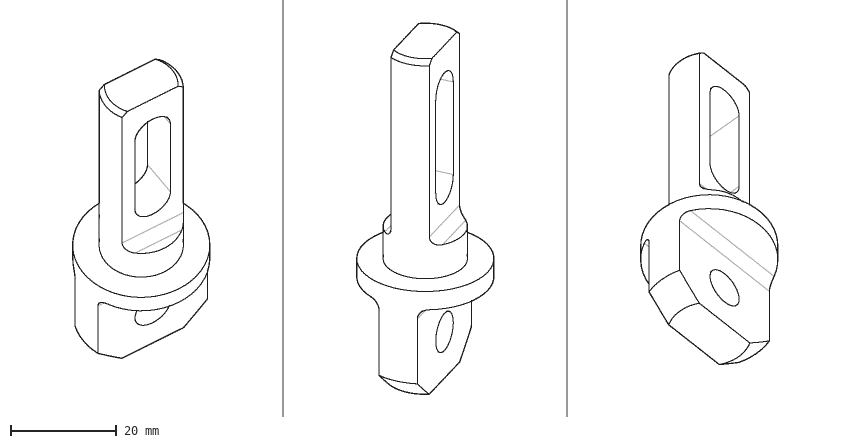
import cadquery as cq

total_height = 72.0
flange_radius = 26.0 / 2
flange_bottom = 21.0
flange_top = 25.0
shaft_radius = 16.0 / 2
shoulder_height = 32.0
blade_thickness = 8.0
root_fillet = 2.0
top_chamfer = 1.0
tang_chamfer = 5.0
slot_width = 8.0
slot_bottom = 38.0
slot_top = 66.0
hole_diameter = 8.0
hole_height = 10.0


def turned_body():
    """Round blank: tang, flange and shaft with conical chamfers at both ends."""
    return (
        cq.Workplane("XZ")
        .lineTo(flange_radius - tang_chamfer, 0)
        .lineTo(flange_radius, tang_chamfer)
        .lineTo(flange_radius, flange_top)
        .lineTo(shaft_radius, flange_top)
        .lineTo(shaft_radius, total_height - top_chamfer)
        .lineTo(shaft_radius - top_chamfer, total_height)
        .lineTo(0, total_height)
        .close()
        .revolve(360, (0, 0, 0), (0, 1, 0))
    )


def side_cutter(side, root, end):
    """Block outside one flat, from its filleted root to the given end height."""
    away = 1 if end > root else -1
    flat = side * blade_thickness / 2
    outside = side * 2 * flange_radius
    arc_offset = root_fillet * (1 - 0.5 ** 0.5)
    return (
        cq.Workplane("XZ")
        .moveTo(flat, end)
        .lineTo(flat, root + away * root_fillet)
        .threePointArc(
            (flat + side * arc_offset, root + away * arc_offset),
            (flat + side * root_fillet, root),
        )
        .lineTo(outside, root)
        .lineTo(outside, end)
        .close()
        .extrude(2 * flange_radius, both=True)
    )


result = turned_body()

for side in (-1, 1):
    result = result.cut(side_cutter(side, shoulder_height, total_height))
    result = result.cut(side_cutter(side, flange_bottom, 0))

slot = (
    cq.Workplane("YZ")
    .center(0, (slot_bottom + slot_top) / 2)
    .slot2D(slot_top - slot_bottom, slot_width, 90)
    .extrude(blade_thickness, both=True)
)
result = result.cut(slot)

hole = (
    cq.Workplane("YZ")
    .center(0, hole_height)
    .circle(hole_diameter / 2)
    .extrude(blade_thickness, both=True)
)
result = result.cut(hole)